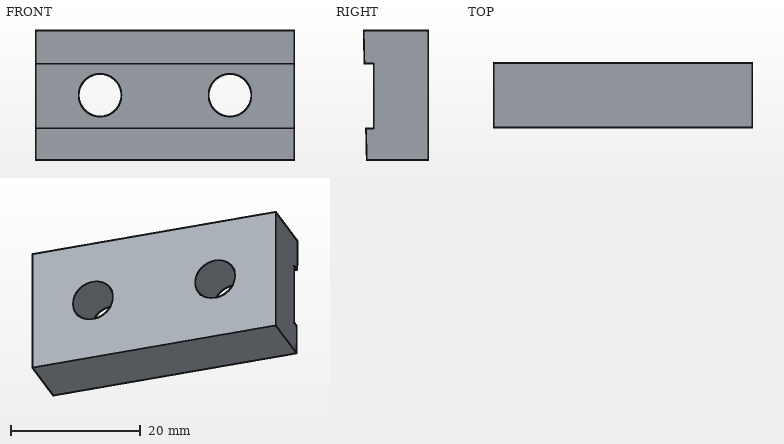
import cadquery as cq

length = 39.88
height = 19.98
depth = 10.0
bottom_depth = 9.55

groove_floor_depth = 8.45
groove_bottom = 4.85
groove_width = 10.0

hole_diameter = 6.55
hole_spacing = 20.0
hole_height = height / 2


def leaning_block():
    """Block with a flat back at Y = 0 and a front that leans back."""
    profile = [(0, 0), (-bottom_depth, 0), (-depth, height), (0, height)]
    return cq.Workplane("YZ").polyline(profile).close().extrude(length)


def groove():
    """Cutter that opens the front face along the full length."""
    groove_depth = depth - groove_floor_depth
    cutter = cq.Workplane("XY").box(length, groove_depth, groove_width, centered=False)
    return cutter.translate((0, -depth, groove_bottom))


def holes():
    """Pair of cylinders running from the back face through the front."""
    return (
        cq.Workplane("XZ")
        .center(length / 2, hole_height)
        .rarray(hole_spacing, 0.4, 2, 1)
        .circle(hole_diameter / 2)
        .extrude(depth)
    )


result = leaning_block().cut(groove()).cut(holes())